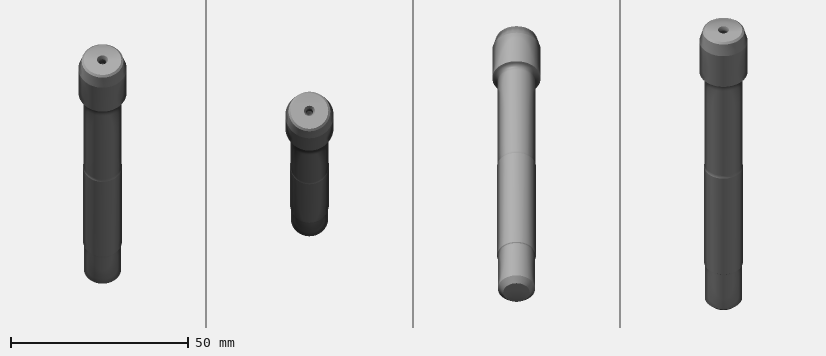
import cadquery as cq
import math

total_length = 100.0

head_radius = 13.64 / 2
head_taper_length = 4.0
head_taper_angle = 15.0
crown_height = 0.5
top_face_radius = 5.3
head_bottom_z = 84.72
underside_angle = 15.0
shoulder_fillet = 1.2

neck_radius = 10.7 / 2
guide_radius = 11.0 / 2
pilot_radius = 10.56 / 2
neck_bottom_z = 50.75
guide_top_z = 49.85
guide_bottom_z = 14.63
tip_length = 1.6
tip_radius = 3.75

hole_radius = 2.0 / 2
countersink_radius = 3.1 / 2
countersink_depth = 1.0
hole_depth = 3.0
drill_point_angle = 120.0

guide_chamfer = guide_radius - pilot_radius
drill_point_height = hole_radius / math.tan(math.radians(drill_point_angle / 2))
taper_start_z = total_length - head_taper_length
neck_flare_width = guide_radius - neck_radius
neck_flare_height = neck_bottom_z - guide_top_z
neck_flare_arc_radius = (neck_flare_width**2 + neck_flare_height**2) / (2 * neck_flare_width)
crown_start_z = total_length - crown_height
head_top_radius = head_radius - (crown_start_z - taper_start_z) * math.tan(math.radians(head_taper_angle))


def make_pin():
    """Revolve the stepped outline of the pin about the Z axis."""
    underside_slope = math.radians(underside_angle)
    fillet_centre_radius = neck_radius + shoulder_fillet
    fillet_top_radius = fillet_centre_radius - shoulder_fillet * math.sin(underside_slope)
    fillet_top_z = head_bottom_z - (head_radius - fillet_top_radius) * math.tan(underside_slope)
    fillet_centre_z = fillet_top_z - shoulder_fillet * math.cos(underside_slope)
    half_fillet_angle = (math.pi / 2 - underside_slope) / 2
    fillet_middle = (
        fillet_centre_radius - shoulder_fillet * math.cos(half_fillet_angle),
        fillet_centre_z + shoulder_fillet * math.sin(half_fillet_angle),
    )

    half_flare_angle = math.asin(neck_flare_height / neck_flare_arc_radius) / 2
    neck_flare_middle = (
        neck_radius + neck_flare_arc_radius * (1 - math.cos(half_flare_angle)),
        neck_bottom_z - neck_flare_arc_radius * math.sin(half_flare_angle),
    )
    return (
        cq.Workplane("XZ")
        .moveTo(0, 0)
        .lineTo(tip_radius, 0)
        .lineTo(pilot_radius, tip_length)
        .lineTo(pilot_radius, guide_bottom_z - guide_chamfer)
        .lineTo(guide_radius, guide_bottom_z)
        .lineTo(guide_radius, guide_top_z)
        .threePointArc(neck_flare_middle, (neck_radius, neck_bottom_z))
        .lineTo(neck_radius, fillet_centre_z)
        .threePointArc(fillet_middle, (fillet_top_radius, fillet_top_z))
        .lineTo(head_radius, head_bottom_z)
        .lineTo(head_radius, taper_start_z)
        .lineTo(head_top_radius, crown_start_z)
        .lineTo(top_face_radius, total_length)
        .lineTo(0, total_length)
        .close()
        .revolve(360, (0, 0, 0), (0, 1, 0))
    )


def make_centre_hole():
    """Countersunk blind hole with a conical drill point."""
    hole_bottom_z = total_length - hole_depth
    return (
        cq.Workplane("XZ")
        .moveTo(0, total_length)
        .lineTo(countersink_radius, total_length)
        .lineTo(hole_radius, total_length - countersink_depth)
        .lineTo(hole_radius, hole_bottom_z)
        .lineTo(0, hole_bottom_z - drill_point_height)
        .close()
        .revolve(360, (0, 0, 0), (0, 1, 0))
    )


result = make_pin().cut(make_centre_hole())